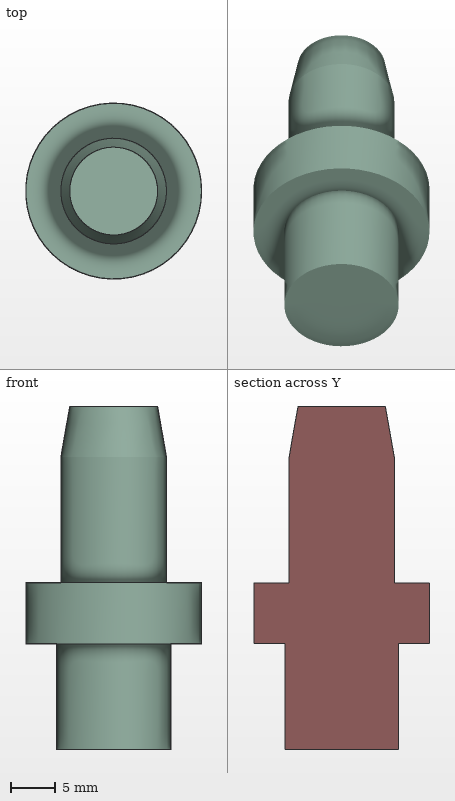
import cadquery as cq
import math

total_height = 39.0
shank_height = 12.0
flange_height = 7.0

shank_diameter = 13.0
flange_diameter = 20.0
pin_diameter = 12.0
tip_diameter = 10.0

taper_angle = 10.0

pin_height = total_height - shank_height - flange_height
taper_height = (pin_diameter - tip_diameter) / 2 / math.tan(math.radians(taper_angle))

body = (
    cq.Workplane("XY")
    .circle(shank_diameter / 2)
    .extrude(shank_height)
    .faces(">Z")
    .workplane()
    .circle(flange_diameter / 2)
    .extrude(flange_height)
    .faces(">Z")
    .workplane()
    .circle(pin_diameter / 2)
    .extrude(pin_height)
)

result = body.faces(">Z").edges().chamfer(taper_height, (pin_diameter - tip_diameter) / 2)